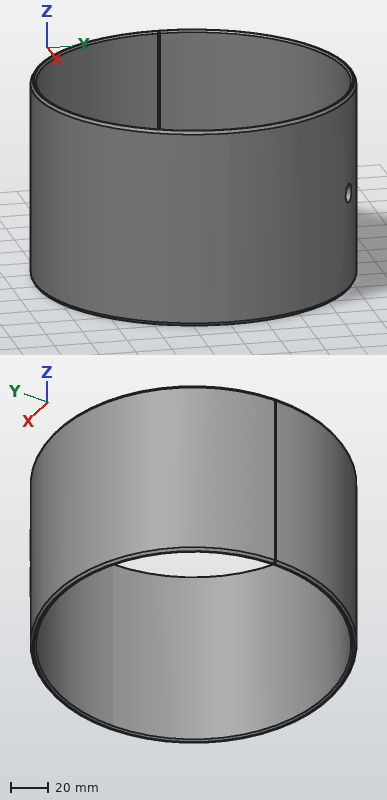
import cadquery as cq
import math

outer_diameter = 175.0
height = 110.0
wall = 3.0
outer_chamfer_height = 1.8
outer_chamfer_width = 1.0
inner_chamfer = 1.0
slit_width = 1.0
slit_start = 0.4
hole_diameter = 10.0
hole_angle = 59.0

outer_radius = outer_diameter / 2
inner_radius = outer_radius - wall
half_height = height / 2


def sleeve():
    """Thin tube with both rims bevelled inside and outside."""
    top_right = [
        (outer_radius, half_height - outer_chamfer_height),
        (outer_radius - outer_chamfer_width, half_height),
        (inner_radius + inner_chamfer, half_height),
        (inner_radius, half_height - inner_chamfer),
    ]
    bottom_right = [(r, -z) for r, z in reversed(top_right)]
    profile = cq.Workplane("XZ").polyline(top_right + bottom_right).close()
    return profile.revolve(360, (0, 0), (0, 1))


def slit():
    """Full-height cut through the -X wall, just beside the XZ plane."""
    return cq.Workplane("XY").box(
        outer_radius, slit_width, height, centered=(True, False, True)
    ).translate((-outer_radius, slit_start, 0))


def radial_hole():
    """Round hole through one wall at mid height."""
    angle = math.radians(hole_angle)
    direction = cq.Vector(math.cos(angle), math.sin(angle), 0)
    axis_plane = cq.Plane(origin=(0, 0, 0), xDir=(0, 0, 1), normal=direction)
    return cq.Workplane(axis_plane).circle(hole_diameter / 2).extrude(outer_diameter)


result = sleeve().cut(slit()).cut(radial_hole())